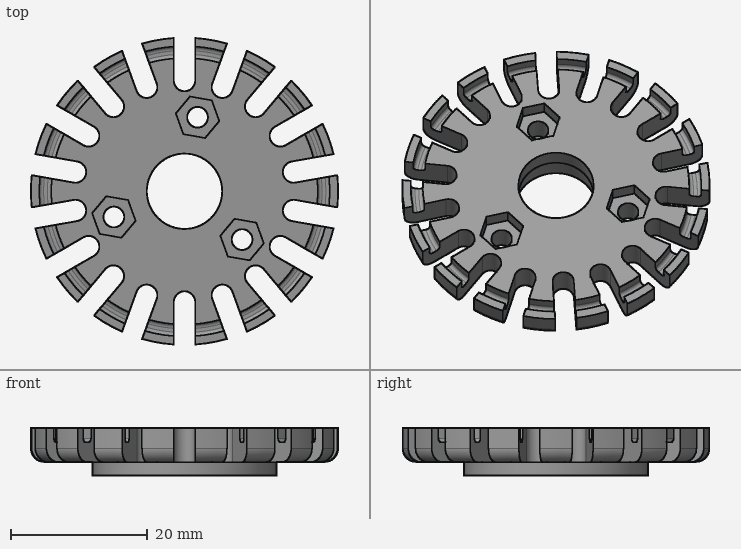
import cadquery as cq
import math

RIM_DIAMETER = 45.0
RIM_THICKNESS = 5.0
RIM_FILLET = 2.0

BOSS_DIAMETER = 27.0
BOSS_HEIGHT = 2.0

BORE_DIAMETER = 11.0
COUNTERBORE_DIAMETER = 12.0
COUNTERBORE_DEPTH = 4.0

SLOT_COUNT = 18
SLOT_WIDTH = 3.1
SLOT_END_CENTRE_RADIUS = 16.2
FIRST_SLOT_ANGLE = 90.0

GROOVE_INNER_RADIUS = 19.5
GROOVE_OUTER_RADIUS = 21.25
GROOVE_DEPTH = 2.1
GROOVE_FILLET = 0.6

SCREW_COUNT = 3
SCREW_CIRCLE_RADIUS = 11.0
FIRST_SCREW_ANGLE = 80.0
SCREW_HOLE_DIAMETER = 3.0
NUT_ACROSS_FLATS = 5.6
NUT_POCKET_DEPTH = 2.5
HEX_SIDES = 6

FULL_TURN = 360.0

TOP_Z = RIM_THICKNESS
BOTTOM_Z = -BOSS_HEIGHT
TOTAL_HEIGHT = RIM_THICKNESS + BOSS_HEIGHT


def make_body():
    """Rim disc with a rounded lower edge, standing on the hub boss."""
    rim = cq.Workplane("XY").circle(RIM_DIAMETER / 2).extrude(RIM_THICKNESS)
    rim = rim.faces("<Z").edges().fillet(RIM_FILLET)
    boss = cq.Workplane("XY").circle(BOSS_DIAMETER / 2).extrude(-BOSS_HEIGHT)
    return rim.union(boss)


def make_bore():
    """Through bore plus the wider counterbore from the underside."""
    base = cq.Workplane("XY").workplane(offset=BOTTOM_Z)
    bore = base.circle(BORE_DIAMETER / 2).extrude(TOTAL_HEIGHT)
    counterbore = base.circle(COUNTERBORE_DIAMETER / 2).extrude(COUNTERBORE_DEPTH)
    return bore.union(counterbore)


def make_groove():
    """Ring groove cut down from the top face."""
    groove = (
        cq.Workplane("XY")
        .workplane(offset=TOP_Z)
        .circle(GROOVE_OUTER_RADIUS)
        .circle(GROOVE_INNER_RADIUS)
        .extrude(-GROOVE_DEPTH)
    )
    return groove.faces("<Z").edges().fillet(GROOVE_FILLET)


def make_slot(angle):
    """Round-ended radial slot at the given angle, running out past the rim."""
    slot_length = RIM_DIAMETER / 2
    straight = (
        cq.Workplane("XY")
        .center(SLOT_END_CENTRE_RADIUS + slot_length / 2, 0)
        .rect(slot_length, SLOT_WIDTH)
        .extrude(RIM_THICKNESS)
    )
    round_end = (
        cq.Workplane("XY")
        .center(SLOT_END_CENTRE_RADIUS, 0)
        .circle(SLOT_WIDTH / 2)
        .extrude(RIM_THICKNESS)
    )
    return straight.union(round_end).rotate((0, 0, 0), (0, 0, 1), angle)


def make_screw_hole(angle):
    """Through hole with a hexagonal nut pocket, one flat facing outward."""
    corner_diameter = NUT_ACROSS_FLATS / math.cos(math.pi / HEX_SIDES)
    half_side_angle = FULL_TURN / HEX_SIDES / 2
    hole = (
        cq.Workplane("XY")
        .workplane(offset=BOTTOM_Z)
        .circle(SCREW_HOLE_DIAMETER / 2)
        .extrude(TOTAL_HEIGHT)
    )
    pocket = (
        cq.Workplane("XY")
        .workplane(offset=TOP_Z)
        .polygon(HEX_SIDES, corner_diameter)
        .extrude(-NUT_POCKET_DEPTH)
        .rotate((0, 0, 0), (0, 0, 1), half_side_angle)
    )
    screw_hole = hole.union(pocket).translate((SCREW_CIRCLE_RADIUS, 0, 0))
    return screw_hole.rotate((0, 0, 0), (0, 0, 1), angle)


result = make_body().cut(make_bore()).cut(make_groove())

for index in range(SLOT_COUNT):
    result = result.cut(make_slot(FIRST_SLOT_ANGLE + index * FULL_TURN / SLOT_COUNT))

for index in range(SCREW_COUNT):
    result = result.cut(make_screw_hole(FIRST_SCREW_ANGLE + index * FULL_TURN / SCREW_COUNT))